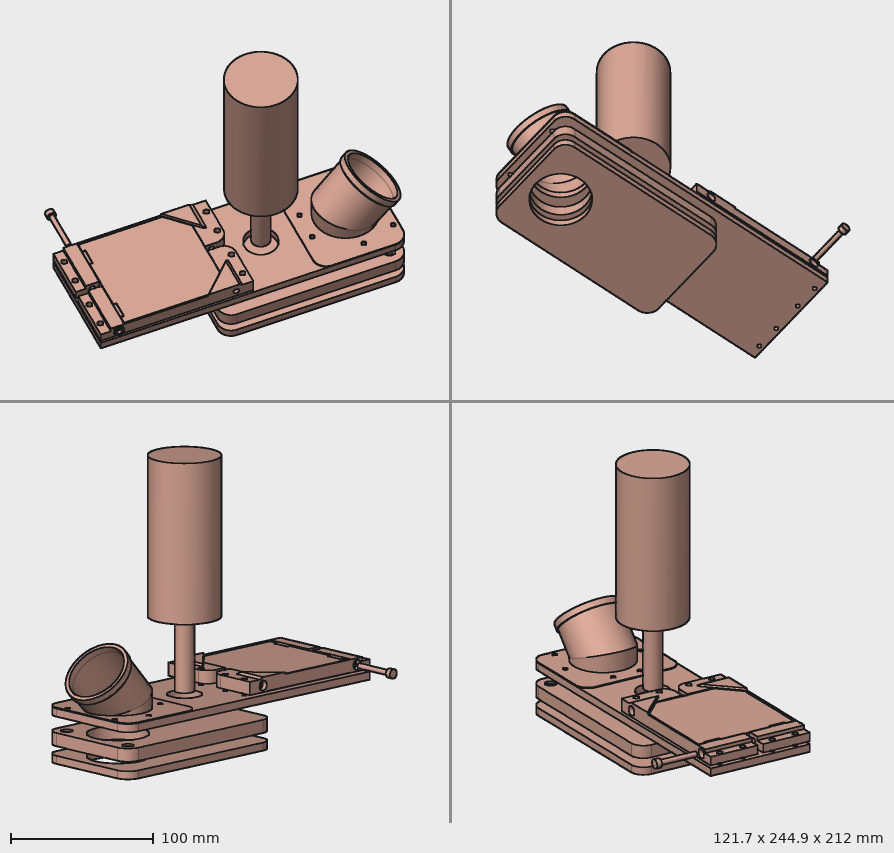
import cadquery as cq
import math


plate_width = 82.2
half_width = plate_width / 2
corner_radius = 10.3
base_length = 236.0
rear_plate_length = 142.0
rear_plate_front = base_length - rear_plate_length
base_thickness = 5.9
bottom_thickness = 5.9
spacer_thickness = 9.5
spacer_z = 12.7
base_z = 34.0
base_top = base_z + base_thickness

spacer_hole_diameter = 4.2
spacer_counterbore_diameter = 8.3
spacer_counterbore_depth = 1.5
spacer_hole_x = half_width - corner_radius
spacer_hole_y = base_length - corner_radius

duct_y = 205.5
tube_diameter = 48.0
bore_diameter = 44.0
flange_front = 167.0
flange_thickness = 0.7
flange_top = base_top + flange_thickness
knee_tilt = 19.0
knee_front_height = 14.7
knee_z = flange_top + knee_front_height - tube_diameter / 2 * math.tan(math.radians(knee_tilt))
lip_tilt = 42.5
lip_diameter = 50.0
lip_length = 5.1
lip_y = 223.0
lip_z = 66.0
flange_hole_diameter = 3.5
flange_side_hole_x = 31.3
flange_side_hole_y = 205.9
flange_front_hole_x = 11.0
flange_front_hole_y = 175.3
flange_rear_hole_x = 23.7
flange_rear_hole_y = 231.5
flange_holes = [
    (side * x, y)
    for side in (-1, 1)
    for x, y in [
        (flange_side_hole_x, flange_side_hole_y),
        (flange_front_hole_x, flange_front_hole_y),
        (flange_rear_hole_x, flange_rear_hole_y),
    ]
]

clamp_z = 42.0
clamp_height = 9.5
clamp_top = clamp_z + clamp_height
clamp_length = 116.8
clamp_gap = 4.5
clamp_corner_radius = 8.8
step_length = 7.5
step_height = 6.5
mount_hole_diameter = 4.2
base_mount_hole_diameter = 3.0
mount_hole_xs = [-31.3, -12.2, 12.2, 31.3]
mount_hole_ys = [4.0, 112.8]
mount_holes = [(x, y) for x in mount_hole_xs for y in mount_hole_ys]

rim_width = 1.2
panel_front = 18.5
panel_back = 99.0
panel_front_clearance = 0.7
panel_drop = 0.7
panel_top = clamp_top - panel_drop
panel_width = plate_width - 2 * rim_width
notch_width = 12.7
notch_length = 2.5
notch_depth = 0.7
notch_x = 27.0

ear_height = 1.5
ear_front = 81.8
ear_edge_slope = 1.0
ear_tip_cut = 2.0
left_ear_back = 107.0
left_ear_back_slope = 3.0
right_ear_back = 108.5
right_ear_back_slope = 2.2

screw_z = clamp_z + clamp_height / 2
screw_y = 13.7
screw_diameter = 4.0
screw_length = 30.0
head_diameter = 6.9
head_length = 4.2
nut_corner_diameter = 7.8
nut_thickness = 3.2
nut_protrusion = 1.5
nut_x = half_width + nut_protrusion - nut_thickness
overall_width = 121.7
screw_head_x = half_width + nut_protrusion - overall_width
clamp_bore_diameter = 4.2
clamp_counterbore_diameter = 7.0
clamp_bore_ys = [12.5, 103.8]

motor_y = 140.7
motor_diameter = 52.0
motor_length = 116.0
motor_top = 212.0
shaft_diameter = 14.0
shaft_opening_diameter = 25.0


def block(x0, x1, y0, y1, z0, z1):
    """A box between opposite corners."""
    return cq.Workplane("XY").box(x1 - x0, y1 - y0, z1 - z0, centered=False).translate((x0, y0, z0))


def vertical_cylinders(points, diameter, z0, z1):
    return cq.Workplane("XY", origin=(0, 0, z0)).pushPoints(points).circle(diameter / 2).extrude(z1 - z0)


def cylinder_along_x(x0, x1, y, diameter):
    return cq.Workplane("YZ", origin=(x0, y, screw_z)).circle(diameter / 2).extrude(x1 - x0)


def make_rear_plate(z, thickness):
    """Rounded plate below the rear of the base, open for the duct."""
    plate = block(-half_width, half_width, rear_plate_front, base_length, z, z + thickness)
    plate = plate.edges("|Z").fillet(corner_radius)
    return plate.cut(vertical_cylinders([(0, duct_y)], bore_diameter, z, z + thickness))


def make_spacer_plate():
    top = spacer_z + spacer_thickness
    points = [(-spacer_hole_x, spacer_hole_y), (spacer_hole_x, spacer_hole_y)]
    plate = make_rear_plate(spacer_z, spacer_thickness)
    plate = plate.cut(vertical_cylinders(points, spacer_hole_diameter, spacer_z, top))
    counterbore_floor = top - spacer_counterbore_depth
    return plate.cut(vertical_cylinders(points, spacer_counterbore_diameter, counterbore_floor, top))


def make_base_plate():
    plate = block(-half_width, half_width, 0, base_length, base_z, base_top)
    plate = plate.edges("|Z and >Y").fillet(corner_radius)
    openings = [
        ([(0, duct_y)], bore_diameter),
        ([(0, motor_y)], shaft_opening_diameter),
        (flange_holes, flange_hole_diameter),
        (mount_holes, base_mount_hole_diameter),
    ]
    for points, diameter in openings:
        plate = plate.cut(vertical_cylinders(points, diameter, base_z, base_top))
    return plate


def tilted_normal(tilt):
    """The upward direction tilted backwards by an angle in degrees."""
    return (0, math.sin(math.radians(tilt)), math.cos(math.radians(tilt)))


def knee_plane():
    return cq.Plane(origin=(0, duct_y, knee_z), xDir=(1, 0, 0), normal=tilted_normal(knee_tilt))


def lip_plane():
    return cq.Plane(origin=(0, lip_y, lip_z), xDir=(1, 0, 0), normal=tilted_normal(lip_tilt))


def make_elbow(diameter):
    """Solid elbow: a vertical cylinder cut at the knee plane, then a tilted stretch up to the lip."""
    radius = diameter / 2
    clear_height = tube_diameter
    upright = vertical_cylinders([(0, duct_y)], diameter, base_z, flange_top + clear_height)
    above_knee = cq.Workplane(knee_plane()).rect(3 * diameter, 3 * diameter).extrude(2 * clear_height)
    upright = upright.cut(above_knee)
    knee = cq.Wire.makeEllipse(
        radius / math.cos(math.radians(knee_tilt)),
        radius,
        knee_plane().origin,
        knee_plane().zDir,
        knee_plane().yDir,
    )
    lip = cq.Workplane(lip_plane()).transformed(rotate=(0, 0, 90)).circle(radius).wires().val()
    tilted = cq.Solid.makeLoft([knee, lip], True)
    return upright.union(cq.Workplane(tilted))


def make_duct():
    flange = block(-half_width, half_width, flange_front, base_length, base_top, flange_top)
    flange = flange.edges("|Z").fillet(corner_radius)
    lip = cq.Workplane(lip_plane()).circle(lip_diameter / 2).extrude(lip_length)
    lip_bore = cq.Workplane(lip_plane()).circle(bore_diameter / 2).extrude(lip_length)
    below_flange = block(-half_width, half_width, flange_front, base_length, 0, base_top)
    duct = flange.union(make_elbow(tube_diameter)).union(lip)
    duct = duct.cut(make_elbow(bore_diameter)).cut(lip_bore).cut(below_flange)
    return duct.cut(vertical_cylinders(flange_holes, flange_hole_diameter, base_top, flange_top))


def make_motor():
    motor_bottom = motor_top - motor_length
    motor = vertical_cylinders([(0, motor_y)], motor_diameter, motor_bottom, motor_top)
    return motor.union(vertical_cylinders([(0, motor_y)], shaft_diameter, clamp_z, motor_bottom))


def ear_triangle(side, back, front):
    """Right triangle against the outer side of the clamp, with a 45 degree diagonal."""
    tip_x = half_width - (back - front)
    return [(side * half_width, front), (side * half_width, back), (side * tip_x, back)]


def make_ear(side, back, back_slope):
    """Raised triangle resting on the panel, with sloping rear and diagonal faces; side is -1 or +1."""
    foot = ear_triangle(side, back, ear_front)
    top = ear_triangle(side, back - back_slope, ear_front + ear_edge_slope)
    base = cq.Workplane("XY", origin=(0, 0, panel_top)).polyline(foot).close().extrude(panel_drop)
    raised = cq.Workplane("XY", origin=(0, 0, clamp_top)).polyline(foot).close()
    raised = raised.workplane(offset=ear_height).polyline(top).close().loft(ruled=True)
    blunt_tip_x = half_width - (back - ear_front) + ear_tip_cut
    beyond_tip = block(-blunt_tip_x, blunt_tip_x, ear_front, back, clamp_top, clamp_top + ear_height)
    return base.union(raised.cut(beyond_tip))


def make_nut_blank():
    """Hexagonal prism with one corner pointing up."""
    nut = cq.Workplane("YZ", origin=(nut_x, screw_y, screw_z)).transformed(rotate=(0, 0, 90))
    return nut.polygon(6, nut_corner_diameter).extrude(nut_thickness)


def make_clamp_half(side):
    """One half of the clamp, a C-shaped frame around the panel; side is -1 (left) or +1 (right)."""
    x0, x1 = sorted([side * clamp_gap / 2, side * half_width])
    half = block(x0, x1, 0, clamp_length, clamp_z, clamp_top)
    inner_rear_edge = "|Z and >Y and >X" if side < 0 else "|Z and >Y and <X"
    half = half.edges(inner_rear_edge).fillet(clamp_corner_radius)
    half = half.cut(block(x0, x1, 0, step_length, clamp_z + step_height, clamp_top))
    rim = half_width - rim_width
    half = half.cut(block(-rim, rim, panel_front - panel_front_clearance, panel_back, clamp_z, clamp_top))
    if side < 0:
        ear = make_ear(side, left_ear_back, left_ear_back_slope)
    else:
        ear = make_ear(side, right_ear_back, right_ear_back_slope)
    half = half.union(ear)
    half = half.cut(vertical_cylinders(mount_holes, mount_hole_diameter, clamp_z, clamp_top))
    for y in clamp_bore_ys:
        half = half.cut(cylinder_along_x(-half_width, half_width, y, clamp_bore_diameter))
        half = half.cut(cylinder_along_x(-half_width, head_length - half_width, y, clamp_counterbore_diameter))
    return half.cut(make_nut_blank())


def make_panel():
    panel = block(-panel_width / 2, panel_width / 2, panel_front, panel_back, clamp_z, panel_top)
    for x in (-notch_x, notch_x):
        x0 = x - notch_width / 2
        x1 = x + notch_width / 2
        y1 = panel_front + notch_length
        panel = panel.cut(block(x0, x1, panel_front, y1, panel_top - notch_depth, panel_top))
    return panel


def make_screw():
    shoulder_x = screw_head_x + head_length
    head = cylinder_along_x(screw_head_x, shoulder_x, screw_y, head_diameter)
    return head.union(cylinder_along_x(shoulder_x, shoulder_x + screw_length, screw_y, screw_diameter))


def make_nut():
    thread = cylinder_along_x(nut_x, nut_x + nut_thickness, screw_y, screw_diameter)
    return make_nut_blank().cut(thread)


bottom_plate = make_rear_plate(0, bottom_thickness)
spacer_plate = make_spacer_plate()
base_plate = make_base_plate()
duct = make_duct()
motor = make_motor()
clamp_halves = [make_clamp_half(side) for side in (-1, 1)]
panel = make_panel()
screw = make_screw()
nut = make_nut()

result = cq.Compound.makeCompound([
    bottom_plate.val(),
    spacer_plate.val(),
    base_plate.val(),
    duct.val(),
    motor.val(),
    *[half.val() for half in clamp_halves],
    panel.val(),
    screw.val(),
    nut.val(),
])